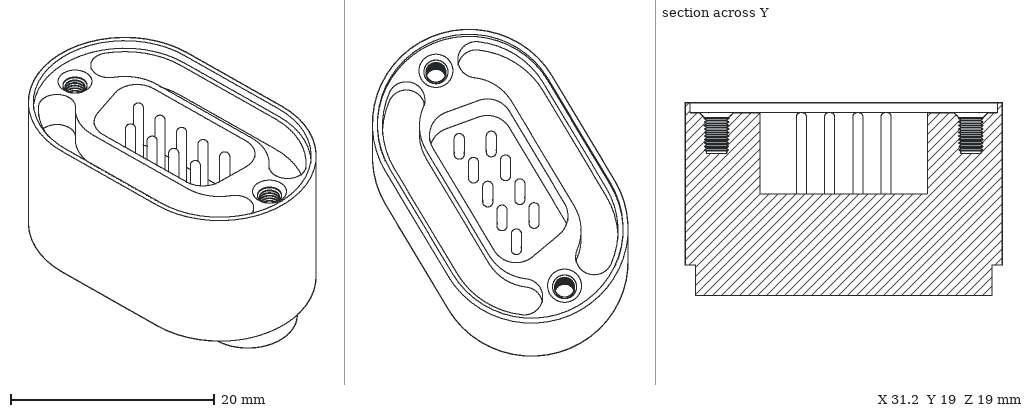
import cadquery as cq
import math

HOUSING_LENGTH = 31.2
HOUSING_WIDTH = 19.0
TOTAL_HEIGHT = 19.0
FOOT_HEIGHT = 3.0
FOOT_LENGTH = 29.2
FOOT_WIDTH = 9.75
END_CENTER_X = (HOUSING_LENGTH - HOUSING_WIDTH) / 2

RIM_WALL = 0.5
RIM_HEIGHT = 1.0
DECK_Z = TOTAL_HEIGHT - RIM_HEIGHT

POCKET_WALL = 1.0
POCKET_INNER_RADIUS = 4.87
POCKET_DEPTH = 4.0
POCKET_SWEEP = math.radians(53.4)

CAVITY_WIDTH = 8.35
CAVITY_MID_LENGTH = 16.38
CAVITY_SIDE_ANGLE = math.radians(10)
CAVITY_CORNER_RADIUS = 2.5
CAVITY_DEPTH = 8.0
CAVITY_FLOOR_Z = DECK_Z - CAVITY_DEPTH

PIN_DIAMETER = 1.0
PIN_TIP_FILLET = 0.4
PIN_PITCH = 2.78
PIN_ROW_SPACING = 2.85
PIN_LENGTH = CAVITY_DEPTH
PIN_ROWS = [(PIN_ROW_SPACING / 2, 5), (-PIN_ROW_SPACING / 2, 4)]

SCREW_X = 12.5
COUNTERSINK_DIAMETER = 3.35
THREAD_ROOT_DIAMETER = 2.37
THREAD_CREST_DIAMETER = 1.95
THREAD_PITCH = 0.35
THREAD_TURNS = 10
THREAD_LAND = 0.1
THREAD_FLANK_HEIGHT = (THREAD_PITCH - THREAD_LAND) / 2


def racetrack(length, width, bottom_z, height):
    """Upright block with two straight sides along X and two semicircular ends."""
    return cq.Workplane("XY", origin=(0, 0, bottom_z)).slot2D(length, width).extrude(height)


def curved_pocket():
    """Cutter for the +Y pocket: straight middle, concentric arcs and round ends."""
    outer_radius = HOUSING_WIDTH / 2 - POCKET_WALL
    middle_radius = (outer_radius + POCKET_INNER_RADIUS) / 2
    cap_radius = (outer_radius - POCKET_INNER_RADIUS) / 2

    def end_point(side, radius, angle):
        """Point on an arc about a housing end centre, with the angle taken from +Y outwards."""
        return (side * (END_CENTER_X + radius * math.sin(angle)), radius * math.cos(angle))

    def cap_tip(side):
        """Outermost point of a pocket's round end."""
        x, y = end_point(side, middle_radius, POCKET_SWEEP)
        return (x + side * cap_radius * math.cos(POCKET_SWEEP), y - cap_radius * math.sin(POCKET_SWEEP))

    half_sweep = POCKET_SWEEP / 2
    return (
        cq.Workplane("XY", origin=(0, 0, DECK_Z - POCKET_DEPTH))
        .moveTo(*end_point(-1, outer_radius, 0))
        .lineTo(*end_point(1, outer_radius, 0))
        .threePointArc(end_point(1, outer_radius, half_sweep), end_point(1, outer_radius, POCKET_SWEEP))
        .threePointArc(cap_tip(1), end_point(1, POCKET_INNER_RADIUS, POCKET_SWEEP))
        .threePointArc(end_point(1, POCKET_INNER_RADIUS, half_sweep), end_point(1, POCKET_INNER_RADIUS, 0))
        .lineTo(*end_point(-1, POCKET_INNER_RADIUS, 0))
        .threePointArc(end_point(-1, POCKET_INNER_RADIUS, half_sweep),
                       end_point(-1, POCKET_INNER_RADIUS, POCKET_SWEEP))
        .threePointArc(cap_tip(-1), end_point(-1, outer_radius, POCKET_SWEEP))
        .threePointArc(end_point(-1, outer_radius, half_sweep), end_point(-1, outer_radius, 0))
        .close()
        .extrude(POCKET_DEPTH)
    )


def connector_cavity():
    """Cutter for the D-shaped cavity around the pins."""
    half_width = CAVITY_WIDTH / 2
    taper = half_width * math.tan(CAVITY_SIDE_ANGLE)
    long_half = CAVITY_MID_LENGTH / 2 + taper
    short_half = CAVITY_MID_LENGTH / 2 - taper
    corners = [
        (-long_half, half_width),
        (long_half, half_width),
        (short_half, -half_width),
        (-short_half, -half_width),
    ]
    return (
        cq.Workplane("XY", origin=(0, 0, CAVITY_FLOOR_Z))
        .polyline(corners)
        .close()
        .extrude(CAVITY_DEPTH)
        .edges("|Z")
        .fillet(CAVITY_CORNER_RADIUS)
    )


def screw_hole(x):
    """Cutter for one screw hole: 45 degree countersink above a stack of thread rings."""
    countersink_radius = COUNTERSINK_DIAMETER / 2
    root_radius = THREAD_ROOT_DIAMETER / 2
    crest_radius = THREAD_CREST_DIAMETER / 2
    countersink_bottom = -(countersink_radius - root_radius)
    thread_top = countersink_bottom - THREAD_LAND
    profile = (
        cq.Workplane("XZ", origin=(x, 0, DECK_Z))
        .lineTo(countersink_radius, 0)
        .lineTo(root_radius, countersink_bottom)
    )
    for turn in range(THREAD_TURNS):
        root_z = thread_top - turn * THREAD_PITCH
        crest_z = root_z - THREAD_FLANK_HEIGHT
        profile = (
            profile.lineTo(root_radius, root_z)
            .lineTo(crest_radius, crest_z)
            .lineTo(crest_radius, crest_z - THREAD_LAND)
        )
    hole_bottom = thread_top - THREAD_TURNS * THREAD_PITCH
    profile = profile.lineTo(crest_radius, hole_bottom).lineTo(0, hole_bottom).close()
    return profile.revolve(360, (0, 0, 0), (0, 1, 0))


def make_housing():
    """Housing with its foot, recessed deck, pockets, cavity and screw holes."""
    block = racetrack(HOUSING_LENGTH, HOUSING_WIDTH, FOOT_HEIGHT, TOTAL_HEIGHT - FOOT_HEIGHT)
    body = block.union(racetrack(FOOT_LENGTH, FOOT_WIDTH, 0, FOOT_HEIGHT))
    deck_length = HOUSING_LENGTH - 2 * RIM_WALL
    deck_width = HOUSING_WIDTH - 2 * RIM_WALL
    body = body.cut(racetrack(deck_length, deck_width, DECK_Z, RIM_HEIGHT))
    pocket = curved_pocket()
    body = body.cut(pocket).cut(pocket.mirror("XZ"))
    body = body.cut(connector_cavity())
    for x in (-SCREW_X, SCREW_X):
        body = body.cut(screw_hole(x))
    return body


def make_pin(x, y):
    """Round-tipped contact pin standing on the cavity floor."""
    return (
        cq.Workplane("XY", origin=(x, y, CAVITY_FLOOR_Z))
        .circle(PIN_DIAMETER / 2)
        .extrude(PIN_LENGTH)
        .faces(">Z")
        .edges()
        .fillet(PIN_TIP_FILLET)
    )


housing = make_housing()

pins = []
for row_y, pin_count in PIN_ROWS:
    for index in range(pin_count):
        pin_x = (index - (pin_count - 1) / 2) * PIN_PITCH
        pins.append(make_pin(pin_x, row_y).val())

result = cq.Compound.makeCompound([housing.val(), *pins])